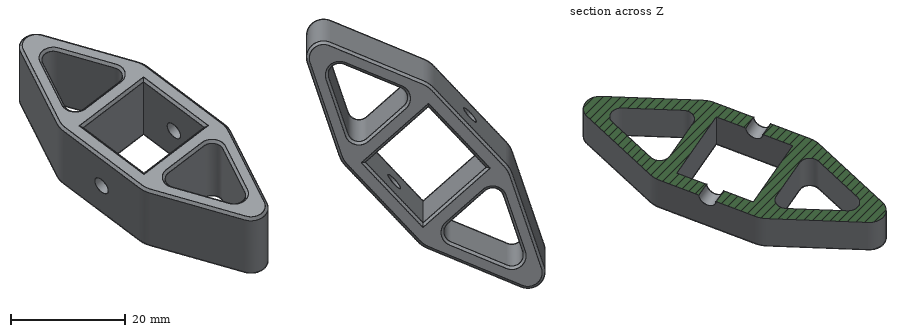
import cadquery as cq
import math

length = 59.0
width = 21.0
height = 15.0
square_size = 15.0
slant_wall = 2.7
tip_radius = 3.0
shoulder_radius = 5.0
window_radius = 2.0
chamfer_size = 0.5
cross_hole_diameter = 3.3

half_width = width / 2
shoulder_x = half_width
window_base_x = half_width
tip_center_x = length / 2 - tip_radius

shoulder_run = tip_center_x - shoulder_x
shoulder_distance = math.hypot(shoulder_run, half_width)
slant_angle = math.atan2(half_width, shoulder_run) - math.asin(tip_radius / shoulder_distance)
apex_x = tip_center_x + tip_radius / math.sin(slant_angle)

window_apex_x = apex_x - slant_wall / math.sin(slant_angle)
window_half_base = (window_apex_x - window_base_x) * math.tan(slant_angle)


def make_body():
    """Hexagonal block with rounded shoulders and tips."""
    outline = [
        (apex_x, 0),
        (shoulder_x, half_width),
        (-shoulder_x, half_width),
        (-apex_x, 0),
        (-shoulder_x, -half_width),
        (shoulder_x, -half_width),
    ]
    body = cq.Workplane("XY").polyline(outline).close().extrude(height)
    body = body.edges("|Z and (<X or >X)").fillet(tip_radius)
    return body.edges("|Z and (<Y or >Y)").fillet(shoulder_radius)


def make_window(side):
    """Cutter for the triangular window on one side (+1 or -1 along X)."""
    corners = [
        (side * window_apex_x, 0),
        (side * window_base_x, window_half_base),
        (side * window_base_x, -window_half_base),
    ]
    prism = cq.Workplane("XY").polyline(corners).close().extrude(height)
    return prism.edges("|Z").fillet(window_radius)


body = make_body()

body = body.cut(cq.Workplane("XY").rect(square_size, square_size).extrude(height))
for side in (-1, 1):
    body = body.cut(make_window(side))

body = body.faces("<Z or >Z").chamfer(chamfer_size)

cross_hole = (
    cq.Workplane("XZ", origin=(0, 0, height / 2))
    .circle(cross_hole_diameter / 2)
    .extrude(half_width, both=True)
)
result = body.cut(cross_hole)